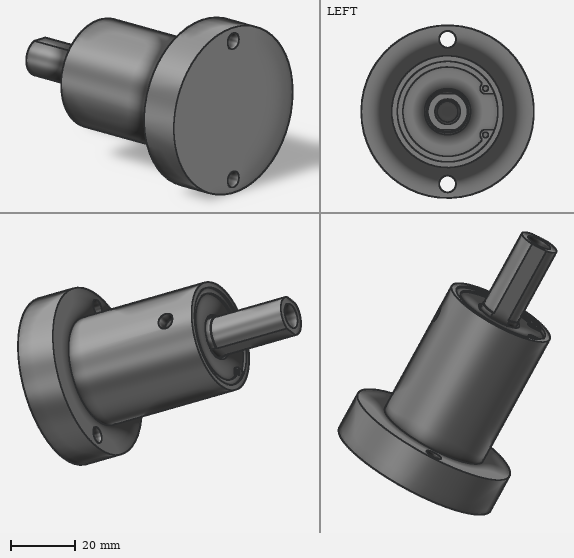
import cadquery as cq
import math

total_length = 83.3
shaft_reach = 25.75
flange_thickness = 12.75
barrel_length = total_length - shaft_reach - flange_thickness
face_x = shaft_reach
flange_x = face_x + barrel_length

flange_diameter = 54.0
barrel_diameter = 34.9
mount_hole_diameter = 5.2
mount_hole_spacing = 45.2
side_hole_diameter = 5.2
side_hole_x = 35.25
side_hole_depth = 4.2

recess_diameter = 31.4
recess_depth = 1.2
ring_setback = 0.6
ring_height = recess_depth - ring_setback
ring_inner_diameter = 27.9
ear_y = -11.8
ear_z = 7.25
ear_radius = 1.7
ear_hole_diameter = 1.75
ear_neck_fillet = 0.7
ear_tip_fillet = 0.4

socket_diameter = 13.2
socket_mouth_diameter = 14.4
socket_depth = 5.0
socket_chamfer = (socket_mouth_diameter - socket_diameter) / 2
floor_x = face_x + recess_depth
socket_end_x = floor_x + socket_depth

shaft_diameter = 12.3
shoulder_diameter = 12.7
shoulder_protrusion = 0.3
shoulder_x = face_x - shoulder_protrusion
shoulder_chamfer = (shoulder_diameter - shaft_diameter) / 2
flat_width = 11.25
flat_length_in_socket = 1.7
flat_end_x = floor_x + flat_length_in_socket
bore_diameter = 7.9
bore_end_diameter = 6.5
bore_depth = 20.0
bore_chamfer = (bore_diameter - bore_end_diameter) / 2


def cylinder(start_x, length, diameter, y=0.0, z=0.0):
    """Cylinder along X that starts at start_x."""
    return cq.Workplane("YZ", origin=(start_x, y, z)).circle(diameter / 2).extrude(length)


def make_ring():
    """Open ring with a rounded, drilled ear at each end of its gap on the -Y side."""
    start_x = floor_x - ring_height
    ring = cylinder(start_x, ring_height, recess_diameter)
    ring = ring.cut(cylinder(start_x, ring_height, ring_inner_diameter))

    gap_half_height = ear_z - ear_radius
    outer_radius = recess_diameter / 2
    gap = cq.Workplane("XY").box(ring_height, outer_radius, 2 * gap_half_height)
    ring = ring.cut(gap.translate((start_x + ring_height / 2, -outer_radius, 0)))

    envelope = cylinder(start_x, ring_height, recess_diameter)
    ear_length = outer_radius + ear_y
    for side in (1, -1):
        ear = cylinder(start_x, ring_height, 2 * ear_radius, ear_y, side * ear_z)
        pad = cq.Workplane("XY").box(ring_height, ear_length, 2 * ear_radius)
        pad = pad.translate((start_x + ring_height / 2, ear_y - ear_length / 2, side * ear_z))
        ring = ring.union(ear.union(pad).intersect(envelope))

    inner_radius = ring_inner_diameter / 2
    ear_distance = math.hypot(ear_y, ear_z)
    along = (ear_distance**2 + inner_radius**2 - ear_radius**2) / (2 * ear_distance)
    neck_angle = math.atan2(ear_z, -ear_y) + math.acos(along / inner_radius)
    neck_y = -inner_radius * math.cos(neck_angle)
    neck_z = inner_radius * math.sin(neck_angle)
    tip_y = -math.sqrt(outer_radius**2 - gap_half_height**2)
    middle_x = start_x + ring_height / 2
    for side in (1, -1):
        neck = cq.selectors.NearestToPointSelector((middle_x, neck_y, side * neck_z))
        tip = cq.selectors.NearestToPointSelector((middle_x, tip_y, side * gap_half_height))
        ring = ring.edges("|X").edges(neck).fillet(ear_neck_fillet)
        ring = ring.edges("|X").edges(tip).fillet(ear_tip_fillet)

    for side in (1, -1):
        hole = cylinder(start_x, ring_height, ear_hole_diameter, ear_y, side * ear_z)
        ring = ring.cut(hole)
    return ring


def make_housing():
    """Flanged barrel with the ring recess, shaft socket and drilled holes."""
    housing = cylinder(face_x, barrel_length, barrel_diameter)
    housing = housing.union(cylinder(flange_x, flange_thickness, flange_diameter))
    housing = housing.cut(cylinder(face_x, recess_depth, recess_diameter))
    housing = housing.union(make_ring())

    housing = housing.cut(cylinder(floor_x, socket_depth, socket_diameter))
    mouth = cq.Solid.makeCone(
        socket_mouth_diameter / 2,
        socket_diameter / 2,
        socket_chamfer,
        pnt=cq.Vector(floor_x, 0, 0),
        dir=cq.Vector(1, 0, 0),
    )
    housing = housing.cut(cq.Workplane(mouth))

    for side in (1, -1):
        hole_z = side * mount_hole_spacing / 2
        housing = housing.cut(cylinder(flange_x, flange_thickness, mount_hole_diameter, z=hole_z))

    side_hole = (
        cq.Workplane("XZ", origin=(side_hole_x, barrel_diameter / 2, 0))
        .circle(side_hole_diameter / 2)
        .extrude(side_hole_depth)
    )
    return housing.cut(side_hole)


def make_shaft():
    """Hollow shaft with two flats and a slightly larger shoulder in the socket."""
    shaft = cylinder(0, shoulder_x, shaft_diameter)
    shoulder = cylinder(shoulder_x, socket_end_x - shoulder_x, shoulder_diameter)
    shaft = shaft.union(shoulder.faces("<X").chamfer(shoulder_chamfer))
    for side in (1, -1):
        waste = cq.Workplane("XY").box(flat_end_x, shoulder_diameter, shoulder_diameter)
        waste_z = side * (flat_width + shoulder_diameter) / 2
        shaft = shaft.cut(waste.translate((flat_end_x / 2, 0, waste_z)))

    bore = cylinder(0, bore_depth, bore_diameter).faces(">X").chamfer(bore_chamfer)
    return shaft.cut(bore)


housing = make_housing()
shaft = make_shaft()
result = cq.Compound.makeCompound([housing.val(), shaft.val()])